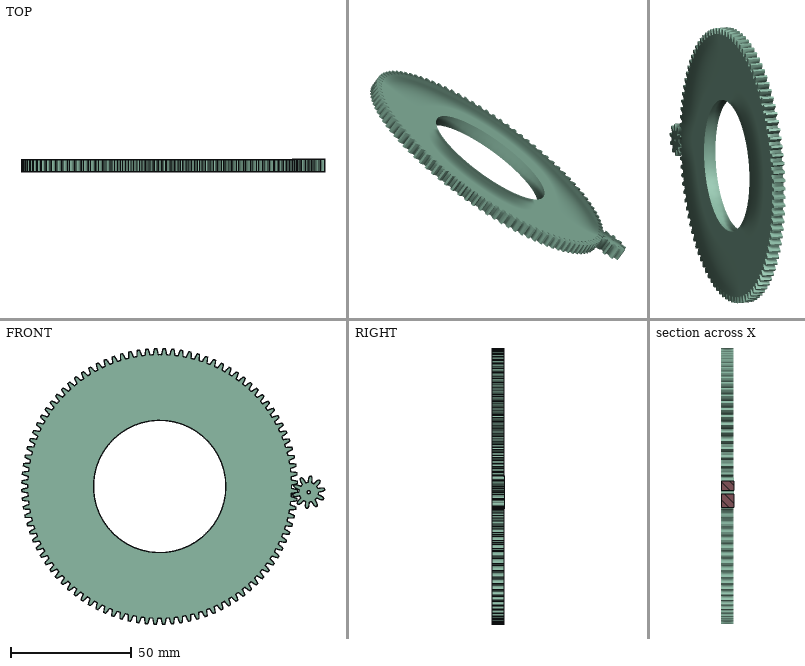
import cadquery as cq
import math

ring_teeth = 100
pinion_teeth = 10
ring_pitch_diameter = 112.5
pressure_angle = math.radians(14.5)
backlash = 0.15
module = ring_pitch_diameter / ring_teeth

ring_dedendum = 1.4
pinion_dedendum = 1.5

ring_bore_diameter = 55.0
pinion_bore_diameter = 1.3
ring_thickness = 5.0
pinion_thickness = 5.3

running_gap = 0.1
center_distance = module * (ring_teeth + pinion_teeth) / 2 + running_gap
pinion_direction = math.radians(-2.2)
ring_phase = math.radians(1.7)
pinion_phase = math.radians(11.0)


def polar(radius, angle):
    return (radius * math.cos(angle), radius * math.sin(angle))


def involute_angle(radius, base_radius):
    """Polar angle unrolled by the involute between its base circle and the given radius."""
    roll = math.acos(base_radius / radius)
    return math.tan(roll) - roll


def gear_outline(teeth, dedendum, center, phase):
    """Closed XZ outline of an involute gear that has a tooth axis at the phase angle."""
    pitch = 2 * math.pi / teeth
    pitch_radius = module * teeth / 2
    base_radius = pitch_radius * math.cos(pressure_angle)
    tip_radius = pitch_radius + module
    root_radius = pitch_radius - dedendum
    flank_radius = max(root_radius, base_radius)
    middle_radius = (flank_radius + tip_radius) / 2

    pitch_half = pitch / 4 - backlash / (2 * pitch_radius)
    base_half = pitch_half + involute_angle(pitch_radius, base_radius)
    flank_half = base_half - involute_angle(flank_radius, base_radius)
    root_half = math.asin(flank_radius * math.sin(flank_half) / root_radius)
    middle_half = base_half - involute_angle(middle_radius, base_radius)
    tip_half = base_half - involute_angle(tip_radius, base_radius)

    outline = cq.Workplane("XZ", origin=(center[0], 0, center[1]))
    outline = outline.moveTo(*polar(root_radius, phase - root_half))
    for index in range(teeth):
        axis = phase + index * pitch
        next_axis = axis + pitch
        if flank_radius > root_radius:
            outline = outline.lineTo(*polar(flank_radius, axis - flank_half))
        outline = outline.threePointArc(
            polar(middle_radius, axis - middle_half), polar(tip_radius, axis - tip_half)
        )
        outline = outline.threePointArc(polar(tip_radius, axis), polar(tip_radius, axis + tip_half))
        outline = outline.threePointArc(
            polar(middle_radius, axis + middle_half), polar(flank_radius, axis + flank_half)
        )
        if flank_radius > root_radius:
            outline = outline.lineTo(*polar(root_radius, axis + root_half))
        outline = outline.threePointArc(
            polar(root_radius, axis + pitch / 2), polar(root_radius, next_axis - root_half)
        )
    return outline.close()


def bore(diameter, depth, center):
    return cq.Workplane("XZ", origin=(center[0], 0, center[1])).circle(diameter / 2).extrude(-depth)


ring_center = (0, 0)
ring_outline = gear_outline(ring_teeth, ring_dedendum, ring_center, ring_phase)
ring_gear = ring_outline.extrude(-ring_thickness)
ring_gear = ring_gear.cut(bore(ring_bore_diameter, ring_thickness, ring_center))

pinion_center = polar(center_distance, pinion_direction)
pinion_outline = gear_outline(
    pinion_teeth, pinion_dedendum, pinion_center, pinion_phase
)
pinion = pinion_outline.extrude(-pinion_thickness)
pinion = pinion.cut(bore(pinion_bore_diameter, pinion_thickness, pinion_center))

result = cq.Compound.makeCompound([ring_gear.val(), pinion.val()])